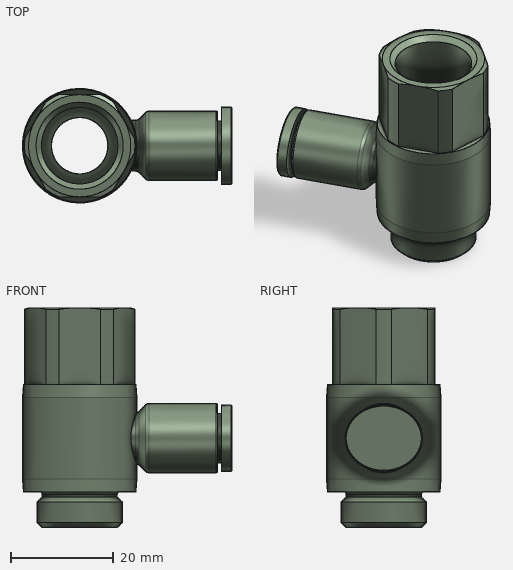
import cadquery as cq
import math

total_height = 43.0

spigot_radius = 8.35
spigot_chamfer = 1.0
spigot_top = 5.0
undercut_radius = 7.35
undercut_bottom = spigot_top + spigot_radius - undercut_radius
undercut_top = 6.5
spigot_root_radius = 7.52

body_diameter = 22.4
body_radius = body_diameter / 2
body_end_radius = 11.0
body_bottom = 7.0
body_top = 28.0
body_taper_height = 2.5

hex_across_flats = 20.0
hex_corner_radius = 10.8
hex_top_radius = hex_across_flats / 2
hex_chamfer_height = 0.3

through_radius = 5.5
socket_radius = 7.5
socket_mouth_radius = 8.5
socket_depth = total_height - body_top

port_height = 17.5
stem_radius = 5.0
port_radius = 6.8
shoulder_end = 13.15
shoulder_start = shoulder_end - (port_radius - stem_radius)
shoulder_fillet = 0.95
port_end = 26.95
port_end_chamfer_length = 0.3
port_end_chamfer_depth = 0.15

neck_radius = 4.85
collar_start = 27.75
collar_end = 29.8
collar_half_width = 7.55
collar_half_height = 6.5
collar_chamfer = 0.2


def make_base():
    """Revolved spigot, undercut and body."""
    profile = [
        (0, 0),
        (spigot_radius - spigot_chamfer, 0),
        (spigot_radius, spigot_chamfer),
        (spigot_radius, spigot_top),
        (undercut_radius, undercut_bottom),
        (undercut_radius, undercut_top),
        (spigot_root_radius, body_bottom),
        (body_end_radius, body_bottom),
        (body_radius, body_bottom + body_taper_height),
        (body_radius, body_top - body_taper_height),
        (body_end_radius, body_top),
        (0, body_top),
    ]
    return cq.Workplane("XZ").polyline(profile).close().revolve(360, (0, 0), (0, 1))


def make_hex_head():
    """Hexagon with flats facing +Y and -Y, its corners and top edge turned round."""
    across_corners = hex_across_flats / math.cos(math.radians(30))
    hexagon = (
        cq.Workplane("XY", origin=(0, 0, body_top))
        .polygon(6, across_corners)
        .extrude(total_height - body_top)
    )
    turned_profile = [
        (0, body_top),
        (hex_corner_radius, body_top),
        (hex_corner_radius, total_height - hex_chamfer_height),
        (hex_top_radius, total_height),
        (0, total_height),
    ]
    turned = cq.Workplane("XZ").polyline(turned_profile).close().revolve(360, (0, 0), (0, 1))
    return hexagon.intersect(turned)


def make_bore():
    """Through hole, wider socket from the top and the socket's 45 degree mouth."""
    socket_floor = total_height - socket_depth
    mouth_bottom = total_height - (socket_mouth_radius - socket_radius)
    profile = [
        (0, 0),
        (through_radius, 0),
        (through_radius, socket_floor),
        (socket_radius, socket_floor),
        (socket_radius, mouth_bottom),
        (socket_mouth_radius, total_height),
        (0, total_height),
    ]
    return cq.Workplane("XZ").polyline(profile).close().revolve(360, (0, 0), (0, 1))


def make_port():
    """Stem, 45 degree shoulder, sleeve and neck, revolved about the port axis."""
    port_plane = cq.Workplane("XZ", origin=(0, 0, port_height))
    profile = [
        (0, 0),
        (0, stem_radius),
        (shoulder_start, stem_radius),
        (shoulder_end, port_radius),
        (port_end - port_end_chamfer_length, port_radius),
        (port_end, port_radius - port_end_chamfer_depth),
        (port_end, neck_radius),
        (collar_start, neck_radius),
        (collar_start, 0),
    ]
    port = port_plane.polyline(profile).close().revolve(360, (0, 0), (1, 0))
    for shoulder_x in (shoulder_start, shoulder_end):
        corner = cq.selectors.NearestToPointSelector((shoulder_x, 0, port_height))
        port = port.edges(corner).fillet(shoulder_fillet)
    return port


def make_collar():
    """Oval disc, wider along Y than Z, chamfered on its outer end."""
    return (
        cq.Workplane("YZ", origin=(collar_start, 0, port_height))
        .ellipse(collar_half_width, collar_half_height)
        .extrude(collar_end - collar_start)
        .faces(">X")
        .chamfer(collar_chamfer)
    )


fitting = make_base().union(make_hex_head()).union(make_port()).union(make_collar())
result = fitting.cut(make_bore())